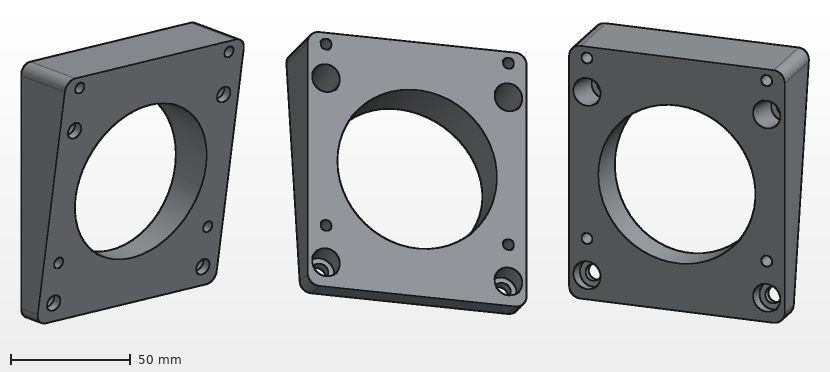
import cadquery as cq
import math

height = 112.0
width = 96.0
top_depth = 30.0
slant_angle = 10.0
corner_radius = 5.0

bore_diameter = 69.9

hole_spacing = 80.0

small_hole_diameter = 4.8
small_pattern_z = 67.0

screw_hole_diameter = 7.0
counterbore_diameter = 12.1
screw_floor_thickness = 4.0
screw_pattern_z = 48.0

slope = math.tan(math.radians(slant_angle))
bottom_depth = top_depth - height * slope


def wedge_body():
    """Rounded rectangular block cut down to the wedge profile."""
    block = (
        cq.Workplane("YZ")
        .center(0, height / 2)
        .rect(width, height)
        .extrude(top_depth)
        .edges("|X")
        .fillet(corner_radius)
    )
    profile = (
        cq.Workplane("XZ")
        .polyline([(0, 0), (bottom_depth, 0), (top_depth, height), (0, height)])
        .close()
        .extrude(width / 2, both=True)
    )
    return block.intersect(profile)


def straight_holes():
    """Central bore and four small holes running through along X."""
    bore = cq.Workplane("YZ").center(0, height / 2).circle(bore_diameter / 2).extrude(top_depth)
    small_holes = (
        cq.Workplane("YZ")
        .center(0, small_pattern_z)
        .rect(hole_spacing, hole_spacing, forConstruction=True)
        .vertices()
        .circle(small_hole_diameter / 2)
        .extrude(top_depth)
    )
    return bore.union(small_holes)


def screw_holes():
    """Four holes square to the slanted face, counterbored from the flat back."""
    tilt = math.radians(slant_angle)
    slant_plane = cq.Plane(
        origin=(bottom_depth + screw_pattern_z * slope, 0, screw_pattern_z),
        xDir=(0, 1, 0),
        normal=(math.cos(tilt), 0, -math.sin(tilt)),
    )
    cut_length = 2 * top_depth

    def pattern(offset, diameter):
        return (
            cq.Workplane(slant_plane)
            .workplane(offset=offset)
            .rect(hole_spacing, hole_spacing, forConstruction=True)
            .vertices()
            .circle(diameter / 2)
            .extrude(-cut_length)
        )

    through_holes = pattern(0, screw_hole_diameter)
    counterbores = pattern(-screw_floor_thickness, counterbore_diameter)
    return through_holes.union(counterbores)


result = wedge_body().cut(straight_holes()).cut(screw_holes())